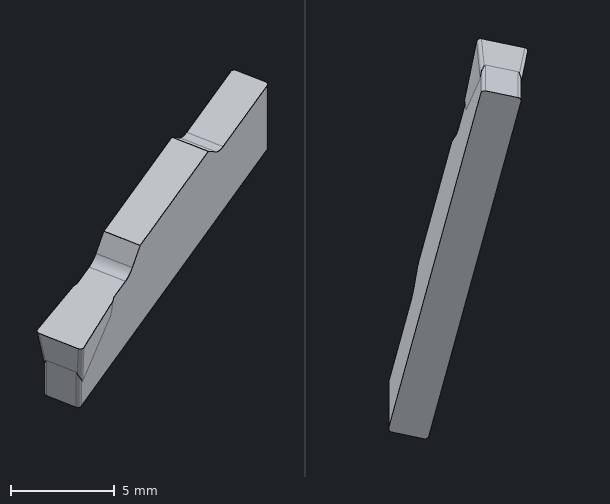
import cadquery as cq
import math


total_length = 19.75
total_height = 5.65
blade_width = 2.0
blade_front = 0.26
shelf_height = 4.55
ridge_start = 6.5
ridge_end = 13.5
ramp_angle = 45
ramp_foot_radius = 1.0
corner_radius = 0.2

edge_width = 2.57
side_taper_angle = 3.3
side_relief_angle = 4.95
front_relief_angle = 7.3
head_length = 3.5
rear_facet_length = 0.29
head_depth = 3.6

half_blade = blade_width / 2
half_edge = edge_width / 2
ramp_run = (total_height - shelf_height) / math.tan(math.radians(ramp_angle))
side_slope = math.tan(math.radians(side_taper_angle))
half_head_rear = half_edge - head_length * side_slope
facet_slope = (half_head_rear - half_blade) / rear_facet_length


def make_blade():
    """Side outline pulled across the width, with rounded ramp feet and end corners."""
    ramp_feet = (ridge_start - ramp_run, ridge_end + ramp_run)
    outline = [
        (blade_front, 0),
        (total_length, 0),
        (total_length, shelf_height),
        (ramp_feet[1], shelf_height),
        (ridge_end, total_height),
        (ridge_start, total_height),
        (ramp_feet[0], shelf_height),
        (blade_front, shelf_height),
    ]
    blade = cq.Workplane("YZ").polyline(outline).close().extrude(half_blade, both=True)
    for foot in ramp_feet:
        foot_edge = cq.selectors.NearestToPointSelector((0, foot, shelf_height))
        blade = blade.edges(foot_edge).fillet(ramp_foot_radius)
    blade = blade.faces("<Y or >Y").edges("|Z").fillet(corner_radius)
    return blade


def make_head():
    """Flared plan shape narrowing downwards, trimmed by the relieved front face."""
    overrun = 1.0
    rear = head_length + rear_facet_length
    right_side = [
        (half_edge + overrun * side_slope, -overrun),
        (half_head_rear, head_length),
        (half_blade - overrun * facet_slope, rear + overrun),
    ]
    left_side = [(-x, y) for x, y in reversed(right_side)]
    flare = (
        cq.Workplane("XY", origin=(0, 0, shelf_height))
        .polyline(right_side + left_side)
        .close()
        .extrude(-head_depth, taper=side_relief_angle)
    )

    front_setback = head_depth * math.tan(math.radians(front_relief_angle))
    head_bottom = shelf_height - head_depth
    front_profile = [
        (0, shelf_height),
        (rear + overrun, shelf_height),
        (rear + overrun, head_bottom),
        (front_setback, head_bottom),
    ]
    trim = cq.Workplane("YZ").polyline(front_profile).close().extrude(edge_width, both=True)
    head = flare.intersect(trim)

    front_corners = head.faces("<Y").edges("not |X")
    return front_corners.fillet(corner_radius)


result = make_blade().union(make_head())